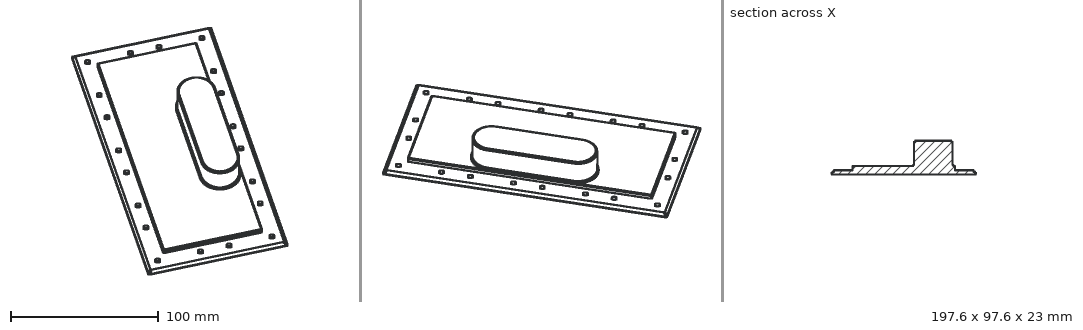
import cadquery as cq

edge_bevel = 0.5

plate_length = 197.6
plate_width = 97.6
plate_thickness = 3.0
plate_bevel = 2.0

pad_length = 170.0
pad_width = 69.4
pad_height = 3.0

total_height = 23.0
boss_radius = 13.0
boss_straight = 60.0
boss_center_y = 20.0
boss_bevel = 1.0
flare_angle = 45

hole_diameter = 3.4
hole_outer_x = 90.1
hole_steps_x = (1, 4, 6, 9)
hole_steps_y = (1, 4)
hole_step = hole_outer_x / hole_steps_x[-1]

pad_top = plate_thickness + pad_height
boss_height = total_height - pad_top


def bevelled_block(length, width, height, base_z, rim_bevel):
    """Box standing at base_z, centred on the Z axis, with its top rim and its corners bevelled."""
    block = cq.Workplane("XY", origin=(0, 0, base_z)).box(
        length, width, height, centered=(True, True, False)
    )
    block = block.faces(">Z").chamfer(rim_bevel)
    return block.edges("not (|X or |Y)").chamfer(edge_bevel)


def make_plate():
    plate = bevelled_block(plate_length, plate_width, plate_thickness, 0, plate_bevel)
    return plate.faces("<Z").chamfer(edge_bevel)


def make_pad():
    return bevelled_block(pad_length, pad_width, pad_height, plate_thickness, edge_bevel)


def slot_prism(radius, height, taper=0):
    return (
        cq.Workplane("XY", origin=(0, boss_center_y, pad_top))
        .slot2D(boss_straight + 2 * radius, 2 * radius)
        .extrude(height, taper=taper)
    )


def make_boss():
    """Slot prism with a bevelled top and a sloped flare around its foot."""
    column = slot_prism(boss_radius, boss_height).faces(">Z").chamfer(boss_bevel)
    flare = slot_prism(boss_radius + boss_bevel, boss_bevel, flare_angle)
    return column.union(flare)


def hole_points():
    """Hole centres along all four rims, mirrored about both centre lines."""
    outer_x = hole_steps_x[-1]
    outer_y = hole_steps_y[-1]
    steps = [(i, outer_y) for i in hole_steps_x]
    steps += [(outer_x, j) for j in hole_steps_y if j != outer_y]
    return [
        (side_x * i * hole_step, side_y * j * hole_step)
        for i, j in steps
        for side_x in (-1, 1)
        for side_y in (-1, 1)
    ]


holes = (
    cq.Workplane("XY")
    .pushPoints(hole_points())
    .circle(hole_diameter / 2)
    .extrude(plate_thickness)
)

result = make_plate().union(make_pad()).union(make_boss()).cut(holes)